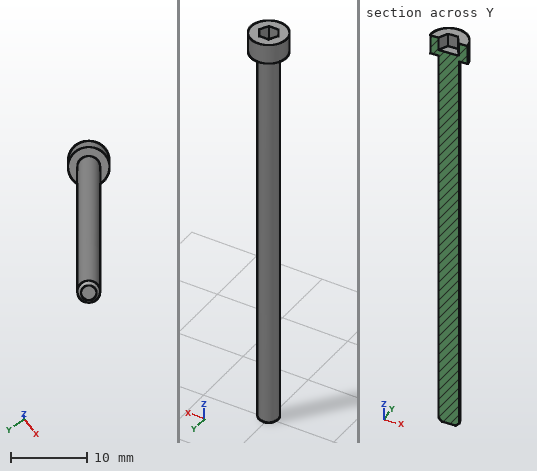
import cadquery as cq
import math

total_length = 63.0
head_diameter = 5.5
shank_diameter = 3.0
head_height = shank_diameter
thread_length = 18.0

socket_sides = 6
socket_width = 2.5
socket_depth = 2.0
tip_chamfer = 0.5

shank_length = total_length - head_height
plain_length = shank_length - thread_length


def make_socket():
    """Hexagonal prism open at the top of the head, with two corners along X."""
    corner_radius = socket_width / 2 / math.cos(math.pi / socket_sides)
    corners = []
    for index in range(socket_sides):
        angle = index * 2 * math.pi / socket_sides
        corners.append((corner_radius * math.cos(angle), corner_radius * math.sin(angle)))
    return (
        cq.Workplane("XY")
        .workplane(offset=head_height - socket_depth)
        .polyline(corners)
        .close()
        .extrude(socket_depth)
    )


def make_head():
    """Cylindrical head with a hexagon socket."""
    head = cq.Workplane("XY").circle(head_diameter / 2).extrude(head_height)
    return head.cut(make_socket())


def make_shank():
    """Plain length followed by the threaded length, with a chamfered tip."""
    plain = cq.Workplane("XY").circle(shank_diameter / 2).extrude(-plain_length)
    threaded = (
        cq.Workplane("XY")
        .workplane(offset=-plain_length)
        .circle(shank_diameter / 2)
        .extrude(-thread_length)
        .faces("<Z")
        .chamfer(tip_chamfer)
    )
    return plain.union(threaded, clean=False)


result = make_head().union(make_shank(), clean=False)